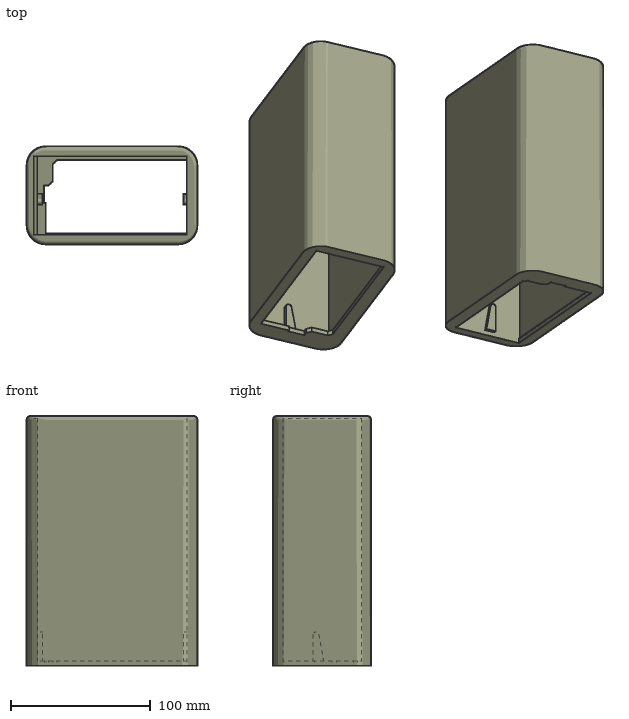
import cadquery as cq

length = 122.5
width = 70.4
height = 179.1
corner_radius = 14.0
rim_radius = 3.0

cavity_length = 106.7
cavity_width = 56.2
mouth_step_width = 2.5
mouth_step_depth = 1.6
floor_thickness = 3.5

ledge_back = 2.9
ledge_front = 0.9
ledge_left = 6.0
notch_relief = 1.3
notch_front = -5.4
block_front = 7.0
block_edge = 11.1
block_back_chamfer = 2.9
block_front_chamfer = 3.2

lug_radius = 2.1
lug_center_y = -4.5
lug_back_y = 1.0
lug_height = 18.8
left_lug_reach = 3.4
right_lug_reach = 2.3

cavity_end = cavity_length / 2
cavity_side = cavity_width / 2


def make_shell():
    """Tall rounded box with a rounded top rim."""
    box = cq.Workplane("XY").box(length, width, height, centered=(True, True, False))
    return box.edges("|Z").fillet(corner_radius).faces(">Z").edges().fillet(rim_radius)


def make_cavity():
    """Well open at the top, widened towards -X at its mouth."""
    well = (
        cq.Workplane("XY", origin=(0, 0, floor_thickness))
        .rect(cavity_length, cavity_width)
        .extrude(height - floor_thickness)
    )
    mouth = (
        cq.Workplane("XY", origin=(-mouth_step_width / 2, 0, height - mouth_step_depth))
        .rect(cavity_length + mouth_step_width, cavity_width)
        .extrude(mouth_step_depth)
    )
    return well.union(mouth)


def make_floor_opening():
    """Opening that leaves a floor ledge along -X, +Y and -Y, with a block in the -X +Y corner."""
    back = cavity_side - ledge_back
    front = -cavity_side + ledge_front
    left = -cavity_end + ledge_left
    notch = left - notch_relief
    block = -cavity_end + block_edge
    outline = [
        (left, front),
        (cavity_end, front),
        (cavity_end, back),
        (block + block_back_chamfer, back),
        (block, back - block_back_chamfer),
        (block, block_front + block_front_chamfer),
        (block - block_front_chamfer, block_front),
        (notch, block_front),
        (notch, notch_front),
        (left, notch_front),
    ]
    return cq.Workplane("XY").polyline(outline).close().extrude(floor_thickness)


def make_lug(wall_x, reach):
    """Round-topped lug with a sloping back, standing out from wall_x by the signed distance reach."""
    front_y = lug_center_y - lug_radius
    shoulder_z = floor_thickness + lug_height
    return (
        cq.Workplane("YZ", origin=(wall_x, 0, 0))
        .moveTo(front_y, floor_thickness)
        .lineTo(front_y, shoulder_z)
        .threePointArc(
            (lug_center_y, shoulder_z + lug_radius),
            (lug_center_y + lug_radius, shoulder_z),
        )
        .lineTo(lug_back_y, floor_thickness)
        .close()
        .extrude(reach)
    )


result = (
    make_shell()
    .cut(make_cavity())
    .cut(make_floor_opening())
    .union(make_lug(-cavity_end, left_lug_reach))
    .union(make_lug(cavity_end, -right_lug_reach))
)